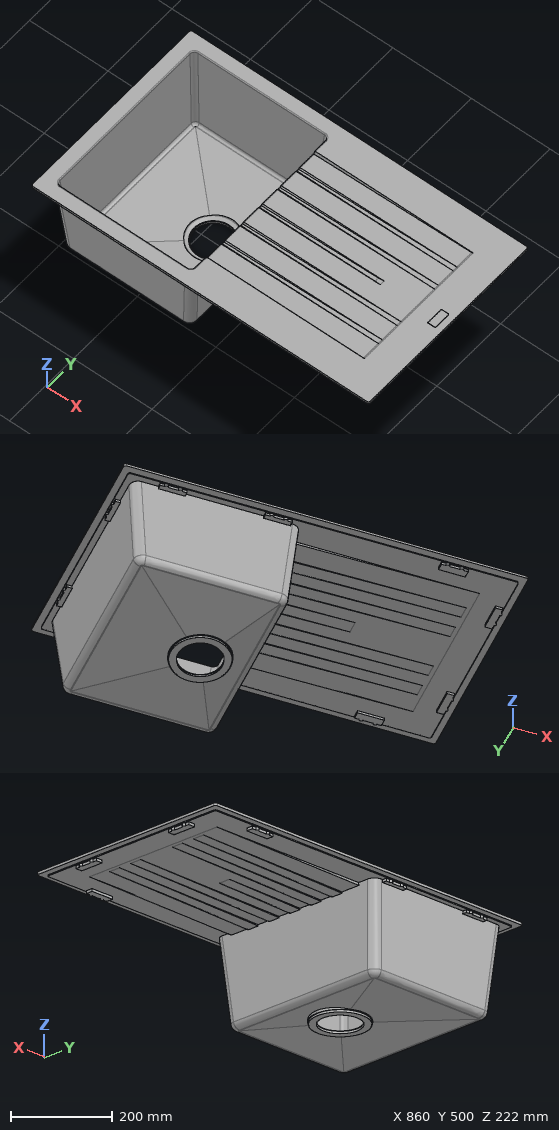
import cadquery as cq
import math

PLATE_LENGTH = 860.0
PLATE_WIDTH = 500.0
RIM_THICKNESS = 6.5
PLATE_CORNER_RADIUS = 5.0
STEP_INSET = 15.0
STEP_DEPTH = 9.0
TOTAL_HEIGHT = 222.0

WALL = 8.0
FLOOR_THICKNESS = 5.5
BOWL_LENGTH = 345.0
BOWL_WIDTH = 430.0
BOWL_CENTER_X = -222.0
BOWL_DEPTH = 202.0
BOWL_DRAFT = 18.0
BOWL_CORNER_RADIUS = 11.0
BOWL_FLOOR_FILLET = 7.5
BOWL_OUTER_FILLET = 15.0
BOWL_EDGE_FILLET = 2.5
FLOOR_LEDGE = 0.5
FLOOR_TIP_SIZE = 2.0
FLOOR_FALL = 11.5

DRAIN_X = -169.0
DRAIN_HOLE_RADIUS = 47.0
DRAIN_SEAT_RADIUS = 49.0
DRAIN_RECESS_RADIUS = 58.0
DRAIN_LIP_RADIUS = 61.0
DRAIN_LIP_Z = -209.0
DRAIN_RECESS_Z = -211.5
DRAIN_SEAT_Z = -216.0
FLANGE_RADIUS = 63.0
FLANGE_COLLAR_RADIUS = 64.5
FLANGE_COLLAR_Z = -217.0

PANEL_END_X = 354.0
PANEL_HALF_WIDTH = 170.0
PANEL_END_DEPTH = 0.8
PANEL_END_RUN = 3.0
PANEL_BOWL_DEPTH = 6.0
PANEL_WALL_ANGLE = 30.0
GROOVE_COUNT = 5
GROOVE_PITCH = 58.5
GROOVE_WIDTH = 12.0
GROOVE_BOWL_DEPTH = 2.7
GROOVE_WALL_ANGLE = 50.0
GROOVE_END_RUN = 14.0
SHORT_GROOVE_END_X = 261.0

MARKER_X = 404.0
MARKER_LENGTH = 19.5
MARKER_WIDTH = 43.0
MARKER_DEPTH = 0.5
MARKER_CORNER_RADIUS = 2.5

PAD_LENGTH = 57.0
PAD_BOTTOM_Z = -15.0
PAD_INNER_INSET = 34.0
PAD_BUMP_HEIGHT = 3.0
PAD_BUMP_RADIUS = 4.5
PAD_BUMP_SPACING = 30.0
LONG_SIDE_PADS_X = (-318.0, -94.0, 280.0)
SHORT_SIDE_PADS_Y = (-129.0, 129.0)

BOWL_RIGHT_X = BOWL_CENTER_X + BOWL_LENGTH / 2
PANEL_FLOOR_END_X = PANEL_END_X - PANEL_END_RUN
CHANNEL_REACH = 10.0
OVERLAP = 1.0


def rounded_slab(length, width, radius, bottom):
    slab = cq.Workplane("XY").workplane(offset=bottom).rect(length, width).extrude(-bottom)
    return slab.edges("|Z").fillet(radius)


def drafted_box(length, width, depth, radius, floor_fillet):
    """Bowl shape hanging from z = 0, narrowing downwards, with a rounded floor edge."""
    top = cq.Sketch().rect(length, width).vertices().fillet(radius)
    bottom = cq.Sketch().rect(length - 2 * BOWL_DRAFT, width - 2 * BOWL_DRAFT).vertices().fillet(radius)
    body = (
        cq.Workplane("XY", origin=(BOWL_CENTER_X, 0, 0))
        .placeSketch(top, bottom.moved(cq.Location(cq.Vector(0, 0, -depth))))
        .loft(ruled=True)
    )
    return body.faces("<Z").edges().fillet(floor_fillet)


def floor_pyramid(depth):
    """Four floor planes falling from the flat of the bowl floor to the drain centre."""
    wall_angle = math.atan(BOWL_DRAFT / BOWL_DEPTH)
    fillet_run = BOWL_FLOOR_FILLET * math.tan(math.pi / 4 - wall_angle / 2)
    inset = BOWL_DRAFT + fillet_run + FLOOR_LEDGE
    length = BOWL_LENGTH - 2 * inset
    width = BOWL_WIDTH - 2 * inset
    return (
        cq.Workplane("XY", origin=(BOWL_CENTER_X, 0, -depth))
        .rect(length, width)
        .workplane(offset=-FLOOR_FALL)
        .center(DRAIN_X - BOWL_CENTER_X, 0)
        .rect(FLOOR_TIP_SIZE, FLOOR_TIP_SIZE)
        .loft(ruled=True)
    )


def drain_flange():
    top_z = -BOWL_DEPTH - FLOOR_THICKNESS
    profile = [
        (0, top_z),
        (FLANGE_COLLAR_RADIUS, top_z),
        (FLANGE_COLLAR_RADIUS, FLANGE_COLLAR_Z),
        (FLANGE_RADIUS, FLANGE_COLLAR_Z),
        (FLANGE_RADIUS, -TOTAL_HEIGHT),
        (0, -TOTAL_HEIGHT),
    ]
    return revolve_at_drain(profile)


def drain_opening():
    lip_top_z = -BOWL_DEPTH
    profile = [
        (0, lip_top_z),
        (DRAIN_LIP_RADIUS, lip_top_z),
        (DRAIN_LIP_RADIUS, DRAIN_LIP_Z),
        (DRAIN_RECESS_RADIUS, DRAIN_RECESS_Z),
        (DRAIN_SEAT_RADIUS, DRAIN_SEAT_Z),
        (DRAIN_HOLE_RADIUS, DRAIN_SEAT_Z),
        (DRAIN_HOLE_RADIUS, -TOTAL_HEIGHT - OVERLAP),
        (0, -TOTAL_HEIGHT - OVERLAP),
    ]
    return revolve_at_drain(profile)


def revolve_at_drain(profile):
    half_section = cq.Workplane("XZ", origin=(DRAIN_X, 0, 0)).polyline(profile).close()
    return half_section.revolve(360, (0, 0, 0), (0, 1, 0))


def prism_along_y(points, half_width):
    return cq.Workplane("XZ").polyline(points).close().extrude(half_width, both=True)


def panel_depth(x):
    fraction = (PANEL_END_X - x) / (PANEL_END_X - BOWL_RIGHT_X)
    return PANEL_END_DEPTH + (PANEL_BOWL_DEPTH - PANEL_END_DEPTH) * fraction


def groove_depth(x):
    """Depth of the groove floors below z = 0; they meet the panel floor at its far end."""
    fraction = (PANEL_FLOOR_END_X - x) / (PANEL_FLOOR_END_X - BOWL_RIGHT_X)
    return panel_depth(x) + GROOVE_BOWL_DEPTH * fraction


def drafted_channel(half_width, angle, top_z, start_x, end_x, tilt):
    """Channel along X that narrows downwards.

    Its section spans half_width either side of the centre at top_z; tilt raises the far end.
    """
    run = CHANNEL_REACH * math.tan(math.radians(angle))
    section = [
        (-half_width - run, CHANNEL_REACH),
        (half_width + run, CHANNEL_REACH),
        (half_width - run, -CHANNEL_REACH),
        (-half_width + run, -CHANNEL_REACH),
    ]
    plane = cq.Plane(
        origin=(start_x, 0, top_z),
        xDir=(0, 1, 0),
        normal=(math.cos(tilt), 0, math.sin(tilt)),
    )
    return cq.Workplane(plane).polyline(section).close().extrude((end_x - start_x) / math.cos(tilt))


def panel_recess():
    start_x = BOWL_RIGHT_X - WALL
    side_profile = [
        (start_x, OVERLAP),
        (PANEL_END_X, OVERLAP),
        (PANEL_END_X, 0),
        (PANEL_FLOOR_END_X, -panel_depth(PANEL_FLOOR_END_X)),
        (start_x, -panel_depth(start_x)),
    ]
    prism = prism_along_y(side_profile, PANEL_HALF_WIDTH + STEP_INSET)
    channel = drafted_channel(PANEL_HALF_WIDTH, PANEL_WALL_ANGLE, 0, start_x, PANEL_END_X, 0)
    return prism.intersect(channel)


def groove(y, end_x):
    start_x = BOWL_RIGHT_X - WALL
    side_profile = [
        (start_x, OVERLAP - panel_depth(start_x)),
        (end_x, OVERLAP - panel_depth(end_x)),
        (end_x, -panel_depth(end_x)),
        (end_x - GROOVE_END_RUN, -groove_depth(end_x - GROOVE_END_RUN)),
        (start_x, -groove_depth(start_x)),
    ]
    prism = prism_along_y(side_profile, GROOVE_PITCH / 2)
    tilt = math.atan((panel_depth(start_x) - panel_depth(end_x)) / (end_x - start_x))
    channel = drafted_channel(
        GROOVE_WIDTH / 2, GROOVE_WALL_ANGLE, -panel_depth(start_x), start_x, end_x, tilt
    )
    return prism.intersect(channel).translate((0, y, 0))


def grooves():
    middle = (GROOVE_COUNT - 1) // 2
    for index in range(GROOVE_COUNT):
        end_x = SHORT_GROOVE_END_X if index == middle else PANEL_FLOOR_END_X
        yield (index - middle) * GROOVE_PITCH, end_x


def drainer_underside():
    """Sloped backing that keeps the plate thickness below the panel and the grooves."""
    start_x = BOWL_RIGHT_X - WALL
    panel_profile = [
        (start_x, -RIM_THICKNESS),
        (PANEL_END_X, -RIM_THICKNESS),
        (PANEL_END_X, -STEP_DEPTH),
        (start_x, -STEP_DEPTH - panel_depth(start_x)),
    ]
    backing = prism_along_y(panel_profile, PANEL_HALF_WIDTH + WALL)
    for y, end_x in grooves():
        groove_profile = [
            (start_x, -RIM_THICKNESS),
            (end_x, -RIM_THICKNESS),
            (end_x, -STEP_DEPTH),
            (start_x, -STEP_DEPTH - groove_depth(start_x)),
        ]
        rib = prism_along_y(groove_profile, GROOVE_WIDTH / 2 + WALL)
        backing = backing.union(rib.translate((0, y, 0)))
    return backing


def mounting_pad():
    """Pad along X whose outer side, with two round bumps, faces -Y and touches y = 0."""
    flat_y = PAD_BUMP_HEIGHT
    inner_y = PAD_INNER_INSET - STEP_INSET
    height = -STEP_DEPTH - PAD_BOTTOM_Z + OVERLAP
    base = cq.Workplane("XY", origin=(0, 0, PAD_BOTTOM_Z))
    block = base.center(0, (flat_y + inner_y) / 2).rect(PAD_LENGTH, inner_y - flat_y).extrude(height)
    bump_centers = [(side * PAD_BUMP_SPACING / 2, PAD_BUMP_RADIUS) for side in (-1, 1)]
    return block.union(base.pushPoints(bump_centers).circle(PAD_BUMP_RADIUS).extrude(height))


def mounting_pads():
    pad = mounting_pad()
    edge_x = PLATE_LENGTH / 2 - STEP_INSET
    edge_y = PLATE_WIDTH / 2 - STEP_INSET
    front_pads = [pad.translate((x, -edge_y, 0)) for x in LONG_SIDE_PADS_X]
    back_pads = [front.mirror("XZ") for front in front_pads]
    turned_pad = pad.rotate((0, 0, 0), (0, 0, 1), -90)
    left_pads = [turned_pad.translate((-edge_x, y, 0)) for y in SHORT_SIDE_PADS_Y]
    right_pads = [left.mirror("YZ") for left in left_pads]
    return front_pads + back_pads + left_pads + right_pads


def marker_pocket():
    pocket = cq.Workplane("XY", origin=(MARKER_X, 0, -MARKER_DEPTH))
    pocket = pocket.rect(MARKER_LENGTH, MARKER_WIDTH).extrude(MARKER_DEPTH + OVERLAP)
    return pocket.edges("|Z and >X").fillet(MARKER_CORNER_RADIUS)


def round_bowl_rim(sink):
    """Round the edge where the bowl walls meet the plate, the drainer panel and the grooves."""
    left_x = BOWL_CENTER_X - BOWL_LENGTH / 2 - OVERLAP
    right_x = BOWL_RIGHT_X + OVERLAP
    half_width = BOWL_WIDTH / 2 + OVERLAP
    lowest_z = -groove_depth(BOWL_RIGHT_X) - OVERLAP
    rim_zone = cq.selectors.BoxSelector(
        (left_x, -half_width, lowest_z),
        (right_x, half_width, OVERLAP),
        boundingbox=True,
    )
    return sink.edges(rim_zone).fillet(BOWL_EDGE_FILLET)


def build_sink():
    sink = rounded_slab(PLATE_LENGTH, PLATE_WIDTH, PLATE_CORNER_RADIUS, -RIM_THICKNESS)
    sink = sink.union(
        rounded_slab(
            PLATE_LENGTH - 2 * STEP_INSET, PLATE_WIDTH - 2 * STEP_INSET, PLATE_CORNER_RADIUS, -STEP_DEPTH
        )
    )
    for pad in mounting_pads():
        sink = sink.union(pad)
    sink = sink.union(drainer_underside())
    sink = sink.union(
        drafted_box(
            BOWL_LENGTH + 2 * WALL,
            BOWL_WIDTH + 2 * WALL,
            BOWL_DEPTH + FLOOR_THICKNESS,
            BOWL_CORNER_RADIUS + WALL,
            BOWL_OUTER_FILLET,
        )
    )
    sink = sink.union(floor_pyramid(BOWL_DEPTH + FLOOR_THICKNESS)).union(drain_flange())

    sink = sink.cut(panel_recess())
    for y, end_x in grooves():
        sink = sink.cut(groove(y, end_x))
    cavity = drafted_box(
        BOWL_LENGTH, BOWL_WIDTH, BOWL_DEPTH, BOWL_CORNER_RADIUS, BOWL_FLOOR_FILLET
    )
    sink = round_bowl_rim(sink.cut(cavity))
    sink = sink.cut(floor_pyramid(BOWL_DEPTH)).cut(drain_opening())
    return sink.cut(marker_pocket())


result = build_sink()